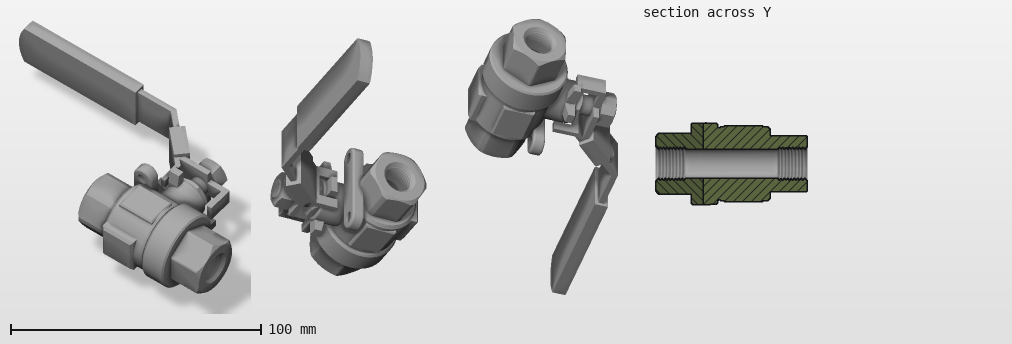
import cadquery as cq
import math


thread_minor_radius = 5.7
thread_major_radius = 6.55
thread_pitch = 1.34
thread_turns = 8
thread_mouth_radius = 6.9

body_left = -29.1
body_hex_flats = 22.5
body_hex_corner_radius = 12.4
hex_chamfer_height = 1.6
hex_chamfer_length = 1.3
barrel_left = -14.3
barrel_radius = 15.0
barrel_shoulder = 1.2
flange_radius = 16.4
flange_left = 6.7
flange_edge = 0.7
groove_radius = 14.6
groove_width = 0.8
joint_x = 12.7

side_pad_x = (-11.8, 4.6)
side_pad_half_width = 6.6
side_pad_height = 15.2
front_pad_x = (-13.6, 1.7)
front_pad_half_width = 8.25
front_pad_height = 16.0
side_pad_edge = 0.6
front_pad_edge = 1.1

bar_x = -13.0
bar_end_radius = 4.6
bar_length = 37.0
bar_bottom = 10.2
bar_top = 15.2
bar_edge = 0.9
bar_hole_radius = 2.3

neck_radius = 8.7
neck_top = 23.6
neck_edge = 0.8
lug_top = 22.75
lug_tip_bottom = 19.9
lug_root_bottom = 18.8
lug_root = 4.0
long_lug_reach = 14.4
short_lug_reach = 13.1
tab_lug_width = 6.8
side_lug_range = (1.9, 6.5)
leg_lug_width = 3.5

cap_flange_right = 17.45
cap_right = 31.55
cap_hex_flats = 22.0
cap_hex_corner_radius = 12.5
cap_neck_radius = 11.0
cap_neck_length = 0.8

gland_top = 26.1
gland_flats = 14.1
gland_chamfer_height = 0.7
stem_radius = 4.05
stem_bottom = 8.0
stem_top = 41.2
stem_tip_chamfer = 0.5
nut_bottom = 34.45
nut_top = 40.4
nut_flats = 12.4
nut_washer_radius = 4.6
nut_chamfer_height = 0.4

lever_thickness = 2.4
lever_width = 17.4
lever_upper_y = 50.3
lever_lower_y = 32.5
lever_slope_sum = 22.55
lever_step_x = 3.6
leg_x = 11.75
leg_bottom = 21.8
leg_width = 7.0
lever_hole_radius = 4.2
lever_hole_y = 45.2

grip_left = -103.39
grip_right = -44.9
grip_thickness = 5.5
grip_width = 20.0
grip_end_sagitta = 2.7

lock_length = 14.5
lock_thickness = 6.5
lock_width = 21.0
lock_middle_y = 37.9
tab_outer_x = -9.95
tab_bottom = 18.5
tab_slot_width = 9.3
tab_slot_top = 26.5

lever_half = lever_thickness / 2
root2 = math.sqrt(2)


def stem_cylinder(radius, bottom, top, x=0, z=0):
    """Cylinder parallel to the stem axis."""
    solid = cq.Solid.makeCylinder(radius, top - bottom, cq.Vector(x, bottom, z), cq.Vector(0, 1, 0))
    return cq.Workplane(obj=solid)


def box(x_range, y_range, z_range):
    sizes = [high - low for low, high in (x_range, y_range, z_range)]
    corner = (x_range[0], y_range[0], z_range[0])
    return cq.Workplane("XY").box(*sizes, centered=False).translate(corner)


def turned(points):
    """Solid of revolution about the flow axis from (x, radius) points."""
    return cq.Workplane("XY").polyline(points).close().revolve(360, (0, 0, 0), (1, 0, 0))


def mid_plane_extrude(points, width):
    """Extrude an XY outline symmetrically to both sides of Z = 0."""
    return cq.Workplane("XY").polyline(points).close().extrude(width / 2, both=True)


def flow_hex(flats, left, right, turn):
    """Hexagonal bar along the flow axis; at turn 0 its corners point along +Y and -Y."""
    bar = cq.Workplane("YZ").polygon(6, flats / math.cos(math.pi / 6)).extrude(right - left)
    return bar.rotate((0, 0, 0), (1, 0, 0), turn).translate((left, 0, 0))


def stem_hex(flats, bottom, top, chamfers, chamfer_height):
    """Nut blank on the stem axis, with its corners turned off at the chosen ends."""
    corner = flats / 2 / math.cos(math.pi / 6)
    blank = cq.Workplane("XZ", origin=(0, bottom, 0)).polygon(6, 2 * corner).extrude(bottom - top)
    turned_blank = stem_cylinder(corner, bottom, top)
    for selector in chamfers:
        turned_blank = turned_blank.faces(selector).chamfer(chamfer_height, corner - flats / 2)
    return blank.intersect(turned_blank)


def threaded_bore(mouth, inward):
    """Through-bore cutter with ring grooves for the thread, from the mouth inwards."""
    points = [(mouth, 0), (mouth, thread_mouth_radius)]
    lead = thread_mouth_radius - thread_minor_radius
    start = mouth + inward * lead
    points.append((start, thread_minor_radius))
    for turn in range(thread_turns):
        points.append((start + inward * (turn + 0.5) * thread_pitch, thread_major_radius))
        points.append((start + inward * (turn + 1) * thread_pitch, thread_minor_radius))
    points.append((joint_x, thread_minor_radius))
    points.append((joint_x, 0))
    return turned(points)


def mounting_bar():
    bar = cq.Workplane("XZ", origin=(bar_x, bar_bottom, 0))
    bar = bar.slot2D(bar_length, 2 * bar_end_radius, 90).extrude(bar_bottom - bar_top)
    return bar.faces("<Y or >Y").edges().fillet(bar_edge)


def bar_holes():
    hole_z = bar_length / 2 - bar_end_radius
    return [stem_cylinder(bar_hole_radius, bar_bottom, bar_top, bar_x, z) for z in (hole_z, -hole_z)]


def stop_lug(reach, side_range, turn):
    """Tapered lug pointing along +X, then turned about the stem axis."""
    outline = [
        (lug_root, lug_root_bottom),
        (neck_radius, lug_root_bottom),
        (reach, lug_tip_bottom),
        (reach, lug_top),
        (lug_root, lug_top),
    ]
    low, high = side_range
    lug = cq.Workplane("XY", origin=(0, 0, low)).polyline(outline).close().extrude(high - low)
    return lug.rotate((0, 0, 0), (0, 1, 0), turn)


def make_body():
    barrel = turned([
        (barrel_left, 0),
        (barrel_left, barrel_radius - barrel_shoulder),
        (barrel_left + barrel_shoulder, barrel_radius),
        (flange_left - groove_width, barrel_radius),
        (flange_left - groove_width, groove_radius),
        (flange_left, groove_radius),
        (flange_left, flange_radius - flange_edge),
        (flange_left + flange_edge, flange_radius),
        (joint_x, flange_radius),
        (joint_x, 0),
    ])
    end_hex = flow_hex(body_hex_flats, body_left, 0, 0).intersect(turned([
        (body_left, 0),
        (body_left, body_hex_corner_radius - hex_chamfer_height),
        (body_left + hex_chamfer_length, body_hex_corner_radius),
        (0, body_hex_corner_radius),
        (0, 0),
    ]))
    side_pads = box(
        side_pad_x,
        (-side_pad_half_width, side_pad_half_width),
        (-side_pad_height, side_pad_height),
    ).faces("<Z or >Z").edges().chamfer(side_pad_edge)
    front_pad = box(
        front_pad_x,
        (-front_pad_height, 0),
        (-front_pad_half_width, front_pad_half_width),
    ).faces("<Y").edges().chamfer(front_pad_edge)
    neck = stem_cylinder(neck_radius, 0, neck_top).faces(">Y").edges().fillet(neck_edge)

    body = barrel.union(end_hex).union(side_pads).union(front_pad).union(neck).union(mounting_bar())
    leg_lug_range = (-leg_width / 2 - leg_lug_width, -leg_width / 2)
    tab_lug_range = (-tab_lug_width / 2, tab_lug_width / 2)
    body = body.union(stop_lug(long_lug_reach, leg_lug_range, 0))
    body = body.union(stop_lug(long_lug_reach, side_lug_range, -90))
    body = body.union(stop_lug(short_lug_reach, tab_lug_range, 180))
    body = body.union(stop_lug(short_lug_reach, side_lug_range, 90))
    for hole in bar_holes():
        body = body.cut(hole)
    return body.cut(threaded_bore(body_left, 1)).cut(stem_cylinder(stem_radius, stem_bottom, neck_top))


def make_end_cap():
    flange = turned([
        (joint_x, 0),
        (joint_x, flange_radius),
        (cap_flange_right - flange_edge, flange_radius),
        (cap_flange_right, flange_radius - flange_edge),
        (cap_flange_right, cap_neck_radius),
        (cap_flange_right + cap_neck_length, cap_neck_radius),
        (cap_flange_right + cap_neck_length, 0),
    ])
    end_hex = flow_hex(cap_hex_flats, cap_flange_right, cap_right, 30).intersect(turned([
        (joint_x, 0),
        (joint_x, cap_hex_corner_radius),
        (cap_right - hex_chamfer_length, cap_hex_corner_radius),
        (cap_right, cap_hex_corner_radius - hex_chamfer_height),
        (cap_right, 0),
    ]))
    return flange.union(end_hex).cut(threaded_bore(cap_right, -1))


def make_gland_nut():
    blank = stem_hex(gland_flats, neck_top, gland_top, ("<Y", ">Y"), gland_chamfer_height)
    return blank.cut(stem_cylinder(stem_radius, neck_top, gland_top))


def make_stem():
    """Stem with the hexagon that clamps the lever and the washer face under it."""
    shank = stem_cylinder(stem_radius, stem_bottom, stem_top).faces(">Y").chamfer(stem_tip_chamfer)
    washer = stem_cylinder(nut_washer_radius, lever_lower_y + lever_half, nut_bottom)
    nut = stem_hex(nut_flats, nut_bottom, nut_top, (">Y",), nut_chamfer_height)
    return shank.union(washer).union(nut)


def lever_outline():
    """Outline of the bent strip: flat, 45 degree drop, flat over the neck, then down to the leg."""
    bend = lever_half * math.tan(math.pi / 8)
    upper_x = lever_slope_sum - lever_upper_y
    lower_x = lever_slope_sum - lever_lower_y
    return [
        (grip_right, lever_upper_y + lever_half),
        (upper_x + bend, lever_upper_y + lever_half),
        (lower_x + bend, lever_lower_y + lever_half),
        (leg_x + lever_half, lever_lower_y + lever_half),
        (leg_x + lever_half, leg_bottom),
        (leg_x - lever_half, leg_bottom),
        (leg_x - lever_half, lever_lower_y - lever_half),
        (lower_x - bend, lever_lower_y - lever_half),
        (upper_x - bend, lever_upper_y - lever_half),
        (grip_right, lever_upper_y - lever_half),
    ]


def make_lever():
    strip = mid_plane_extrude(lever_outline(), lever_width)
    end_y = (leg_bottom, lever_lower_y + lever_half)
    end_x = (lever_step_x, leg_x + lever_half)
    for low, high in ((leg_width / 2, lever_width / 2), (-lever_width / 2, -leg_width / 2)):
        strip = strip.cut(box(end_x, end_y, (low, high)))
    lock_hole = cq.Solid.makeCylinder(
        lever_hole_radius,
        2 * lever_thickness,
        cq.Vector(lever_slope_sum - lever_hole_y - lever_thickness / root2,
                  lever_hole_y - lever_thickness / root2, 0),
        cq.Vector(1, 1, 0),
    )
    strip = strip.cut(cq.Workplane(obj=lock_hole))
    return strip.cut(stem_cylinder(stem_radius, stem_bottom, stem_top))


def make_grip():
    half = grip_width / 2
    outline = (
        cq.Workplane("XZ", origin=(0, lever_upper_y - grip_thickness / 2, 0))
        .moveTo(grip_right, -half)
        .lineTo(grip_left + grip_end_sagitta, -half)
        .threePointArc((grip_left, 0), (grip_left + grip_end_sagitta, half))
        .lineTo(grip_right, half)
        .close()
    )
    return outline.extrude(-grip_thickness)


def make_lock():
    """Sleeve sliding on the 45 degree stretch, with a forked tab that straddles a stop lug."""
    wall = (lock_thickness - lever_thickness) / 2
    middle = (lever_slope_sum - lock_middle_y, lock_middle_y, 0)
    sleeve = cq.Workplane("XY").box(lock_length, lock_thickness, lock_width)
    sleeve = sleeve.rotate((0, 0, 0), (0, 0, 1), -45).translate(middle)

    outer_sum = lever_slope_sum - lock_thickness / root2
    inner_sum = lever_slope_sum - lever_thickness / root2
    tab_inner_x = tab_outer_x + wall
    start_x = middle[0]
    tab = mid_plane_extrude([
        (start_x, outer_sum - start_x),
        (tab_outer_x, outer_sum - tab_outer_x),
        (tab_outer_x, tab_bottom),
        (tab_inner_x, tab_bottom),
        (tab_inner_x, inner_sum - tab_inner_x),
        (start_x + wall / root2, inner_sum - start_x - wall / root2),
    ], lever_width)
    slot_half = tab_slot_width / 2
    slot = box((tab_outer_x, tab_inner_x), (tab_bottom, tab_slot_top), (-slot_half, slot_half))
    channel = mid_plane_extrude(lever_outline(), lever_width)
    return sleeve.union(tab.cut(slot)).cut(channel)


body = make_body()
end_cap = make_end_cap()
gland_nut = make_gland_nut()
stem = make_stem()
lever = make_lever()
grip = make_grip()
lock = make_lock()

result = cq.Compound.makeCompound([
    *body.solids().vals(),
    *end_cap.solids().vals(),
    *gland_nut.solids().vals(),
    *stem.solids().vals(),
    *lever.solids().vals(),
    *grip.solids().vals(),
    *lock.solids().vals(),
])